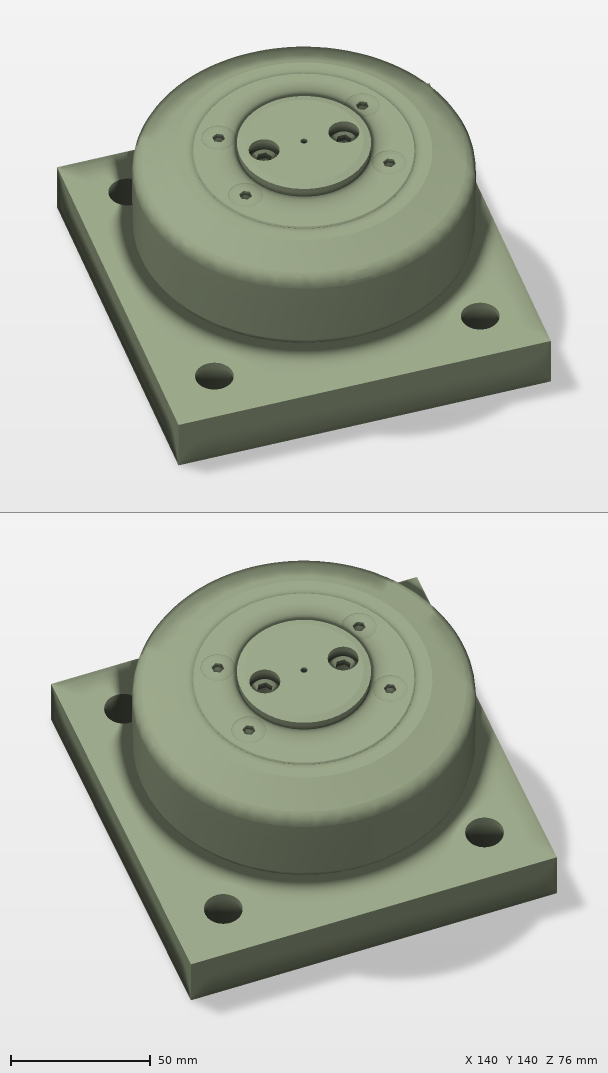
import cadquery as cq
import math

PLATE_SIDE = 140.0
PLATE_HEIGHT = 20.0
PLATE_HOLE_DIAMETER = 13.9
PLATE_HOLE_OFFSET = 50.0

RING_BOTTOM = 33.3
RING_TOP = 71.0
RING_MIDDLE = (RING_BOTTOM + RING_TOP) / 2
COVER_TOP = 71.5
BOSS_TOP = 76.0

STUD_RADIUS = 80.0 / 2
RING_RADIUS = 123.0 / 2
CROWN_RADIUS = 499.8
RING_FACE_RADIUS = 45.9
CONE_ANGLE = math.radians(20)
CONE_FILLET = 5.0
BOTTOM_FILLET = 3.0
RIM_MARGIN = 0.1

COVER_RADIUS = STUD_RADIUS
COVER_CHAMFER = 0.49
BOSS_RADIUS = 48.0 / 2
BOSS_CHAMFER_WIDTH = 2.7
BOSS_CHAMFER_HEIGHT = 0.7
CENTRE_HOLE_DIAMETER = 2.5
CENTRE_HOLE_DEPTH = 2.8

CAP_SCREW_OFFSET = 15.0
CAP_BORE_DIAMETER = 11.0
CAP_HEAD_DIAMETER = 10.0
CAP_HEAD_CHAMFER = 0.5
CAP_HEAD_DEPTH = 3.9
CAP_HEAD_HEIGHT = 1.4
CAP_SOCKET_FLATS = 5.0
CAP_SOCKET_TURN = 30.0
CAP_SOCKET_DEPTH = 2.8
CAP_SOCKET_CONE_HEIGHT = 1.4

FLAT_SCREW_X = 15.5
FLAT_SCREW_Y = 27.0
COUNTERSINK_DIAMETER = 12.5
COUNTERSINK_DEPTH = 0.1
FLAT_SOCKET_FLATS = 4.0
FLAT_SOCKET_DEPTH = 2.1


def crown_radius_at(z):
    """Radius of the crowned rim at height z."""
    sag = CROWN_RADIUS - math.sqrt(CROWN_RADIUS**2 - (z - RING_MIDDLE) ** 2)
    return RING_RADIUS - sag


def hexagon_diameter(across_flats):
    """Corner-to-corner size of a hexagon."""
    return across_flats / math.cos(math.pi / 6)


def make_plate():
    """Square plate with a through hole near each corner."""
    hole_pitch = 2 * PLATE_HOLE_OFFSET
    plate = cq.Workplane("XY").box(PLATE_SIDE, PLATE_SIDE, PLATE_HEIGHT, centered=(True, True, False))
    corners = plate.faces(">Z").workplane().rect(hole_pitch, hole_pitch, forConstruction=True).vertices()
    return corners.hole(PLATE_HOLE_DIAMETER)


def make_roller_blank():
    """Turned shape: stud, crowned ring with a conical top, cover disc and boss."""
    cone_drop = (RING_RADIUS - RING_FACE_RADIUS) * math.tan(CONE_ANGLE)
    cone_rim_z = RING_TOP - cone_drop
    profile = (
        cq.Workplane("XZ")
        .moveTo(0, PLATE_HEIGHT)
        .lineTo(STUD_RADIUS, PLATE_HEIGHT)
        .lineTo(STUD_RADIUS, RING_BOTTOM)
        .lineTo(crown_radius_at(RING_BOTTOM), RING_BOTTOM)
        .threePointArc((RING_RADIUS, RING_MIDDLE), (crown_radius_at(cone_rim_z), cone_rim_z))
        .lineTo(RING_FACE_RADIUS, RING_TOP)
        .lineTo(COVER_RADIUS, RING_TOP)
        .lineTo(COVER_RADIUS, COVER_TOP - COVER_CHAMFER)
        .lineTo(COVER_RADIUS - COVER_CHAMFER, COVER_TOP)
        .lineTo(BOSS_RADIUS, COVER_TOP)
        .lineTo(BOSS_RADIUS, BOSS_TOP - BOSS_CHAMFER_HEIGHT)
        .lineTo(BOSS_RADIUS - BOSS_CHAMFER_WIDTH, BOSS_TOP)
        .lineTo(0, BOSS_TOP)
        .close()
    )
    blank = profile.revolve(360, (0, 0, 0), (0, 1, 0))
    blank = round_rim(blank, crown_radius_at(RING_BOTTOM), RING_BOTTOM, BOTTOM_FILLET)
    return round_rim(blank, crown_radius_at(cone_rim_z), cone_rim_z, CONE_FILLET)


def round_rim(body, radius, z, fillet):
    """Fillet the circular rim of the given radius at height z."""
    rim_box = cq.selectors.BoxSelector((-radius, -radius, z - RIM_MARGIN), (radius, radius, z + RIM_MARGIN))
    rim_edge = body.edges(rim_box).edges(cq.selectors.RadiusNthSelector(-1))
    return rim_edge.fillet(fillet)


def make_cap_screw_cut():
    """Bore around a socket cap head, with its origin at the bore mouth."""
    bore_depth = CAP_HEAD_DEPTH + CAP_HEAD_HEIGHT
    bore = cq.Workplane("XY").circle(CAP_BORE_DIAMETER / 2).extrude(-bore_depth)
    head = (
        cq.Workplane("XY", origin=(0, 0, -bore_depth))
        .circle(CAP_HEAD_DIAMETER / 2)
        .extrude(CAP_HEAD_HEIGHT)
        .faces(">Z")
        .chamfer(CAP_HEAD_CHAMFER)
    )
    socket_floor = -CAP_HEAD_DEPTH - CAP_SOCKET_DEPTH
    socket = (
        cq.Workplane("XY", origin=(0, 0, socket_floor))
        .polygon(6, hexagon_diameter(CAP_SOCKET_FLATS))
        .extrude(CAP_SOCKET_DEPTH)
        .rotate((0, 0, 0), (0, 0, 1), CAP_SOCKET_TURN)
    )
    cone_tip = cq.Vector(0, 0, socket_floor - CAP_SOCKET_CONE_HEIGHT)
    cone = cq.Workplane(cq.Solid.makeCone(0, CAP_SOCKET_FLATS / 2, CAP_SOCKET_CONE_HEIGHT, cone_tip))
    return bore.cut(head).union(socket).union(cone)


def make_flat_screw_cut():
    """Shallow countersink and hexagon socket, with its origin at the cover top."""
    rim_radius = COUNTERSINK_DIAMETER / 2
    floor_radius = rim_radius - COUNTERSINK_DEPTH
    floor_centre = cq.Vector(0, 0, -COUNTERSINK_DEPTH)
    countersink = cq.Workplane(cq.Solid.makeCone(floor_radius, rim_radius, COUNTERSINK_DEPTH, floor_centre))
    socket = cq.Workplane("XY").polygon(6, hexagon_diameter(FLAT_SOCKET_FLATS)).extrude(-FLAT_SOCKET_DEPTH)
    return countersink.union(socket)


def make_roller():
    """Roller with its centre hole and screw recesses."""
    roller = make_roller_blank()
    centre_hole = cq.Workplane("XY").circle(CENTRE_HOLE_DIAMETER / 2).extrude(-CENTRE_HOLE_DEPTH)
    roller = roller.cut(centre_hole.translate((0, 0, BOSS_TOP)))
    cap_screw_cut = make_cap_screw_cut()
    for side_y in (-1, 1):
        roller = roller.cut(cap_screw_cut.translate((0, side_y * CAP_SCREW_OFFSET, BOSS_TOP)))
    flat_screw_cut = make_flat_screw_cut()
    for side_x in (-1, 1):
        for side_y in (-1, 1):
            place = (side_x * FLAT_SCREW_X, side_y * FLAT_SCREW_Y, COVER_TOP)
            roller = roller.cut(flat_screw_cut.translate(place))
    return roller


plate = make_plate()
roller = make_roller()
result = cq.Compound.makeCompound([plate.val(), roller.val()])